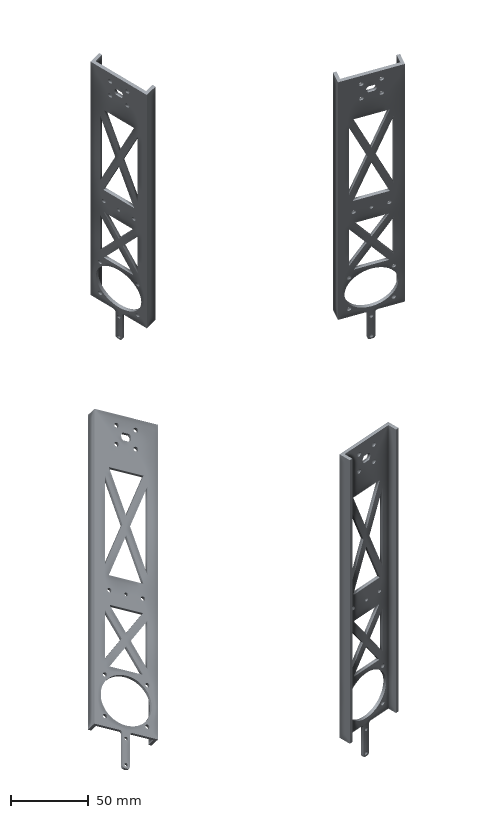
import cadquery as cq
import math

overall_length = 260.0
width = 46.0
depth = 9.0
body_length = 232.7
web_thickness = 2.3
flange_thickness = 2.3

top = overall_length / 2
body_bottom = top - body_length
front = -depth / 2

tab_width = 5.5
tab_thickness = 2.0
tab_end_radius = 2.0
tab_root_radius = 2.0
tab_hole_diameter = 2.5
tab_hole_heights = (-108.0, -127.5)

shaft_height = 115.0
shaft_diameter = 7.3
shaft_flat_distance = 5.7
shaft_hole_offset = 7.0
shaft_hole_diameter = 3.5

windows = ((49.7, 79.8, 5.2), (-34.8, 45.5, 5.5))
window_width = 30.7

row_height = -1.3
row_spacing = 12.2
row_outer_diameter = 3.0
row_middle_diameter = 2.5

fan_height = -79.8
fan_diameter = 37.0
fan_hole_offset = 15.3
fan_hole_diameter = 3.0


def front_plane():
    """Workplane on the front face of the part, with local axes along X and Z and its normal along -Y."""
    return cq.Workplane("XZ", origin=(0, front, 0))


def make_channel():
    block = front_plane().center(0, top - body_length / 2).rect(width, body_length).extrude(-depth)
    hollow = (
        front_plane()
        .workplane(offset=-web_thickness)
        .center(0, top - body_length / 2)
        .rect(width - 2 * flange_thickness, body_length)
        .extrude(-depth)
    )
    return block.cut(hollow)


def make_tab():
    """Strip below the web with rounded end corners, widened by a concave fillet on each side of its root."""
    half = tab_width / 2
    r = tab_root_radius
    mid = r * (1 - math.sqrt(0.5))
    return (
        front_plane()
        .moveTo(-half - r, body_bottom)
        .threePointArc((-half - mid, body_bottom - mid), (-half, body_bottom - r))
        .lineTo(-half, -top)
        .lineTo(half, -top)
        .lineTo(half, body_bottom - r)
        .threePointArc((half + mid, body_bottom - mid), (half + r, body_bottom))
        .close()
        .extrude(-tab_thickness)
        .faces("<Z")
        .edges("|Y")
        .fillet(tab_end_radius)
    )


def holes(points, diameter):
    return front_plane().pushPoints(points).circle(diameter / 2).extrude(-depth)


def square_pattern(height, offset):
    return [(x, height + z) for x in (-offset, offset) for z in (-offset, offset)]


def shaft_opening():
    """Round opening with a flat at its top and bottom."""
    flats = front_plane().center(0, shaft_height).rect(shaft_diameter, shaft_flat_distance).extrude(-depth)
    return holes([(0, shaft_height)], shaft_diameter).intersect(flats)


def braced_window(height, window_height, bar_width):
    """Rectangular opening minus the two bars along its diagonals."""
    opening = front_plane().center(0, height).rect(window_width, window_height).extrude(-depth)
    diagonal_angle = math.degrees(math.atan2(window_height, window_width))
    bar_length = 2 * (window_width + window_height)
    for angle in (diagonal_angle, -diagonal_angle):
        bar = (
            front_plane()
            .center(0, height)
            .transformed(rotate=(0, 0, angle))
            .rect(bar_length, bar_width)
            .extrude(-depth)
        )
        opening = opening.cut(bar)
    return opening


result = make_channel().union(make_tab())

result = result.cut(shaft_opening())
result = result.cut(holes(square_pattern(shaft_height, shaft_hole_offset), shaft_hole_diameter))

for center_height, window_height, bar_width in windows:
    result = result.cut(braced_window(center_height, window_height, bar_width))

result = result.cut(holes([(-row_spacing, row_height), (row_spacing, row_height)], row_outer_diameter))
result = result.cut(holes([(0, row_height)], row_middle_diameter))

result = result.cut(holes([(0, fan_height)], fan_diameter))
result = result.cut(holes(square_pattern(fan_height, fan_hole_offset), fan_hole_diameter))

result = result.cut(holes([(0, z) for z in tab_hole_heights], tab_hole_diameter))